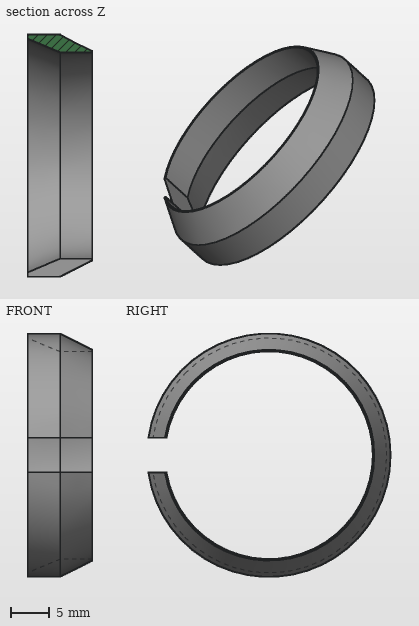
import cadquery as cq

outer_radius = 15.98
lip_outer_radius = 13.85
width = 8.5
band_width = width / 2
rim_wall = 0.58
lip_wall = 0.22
rim_bore_radius = outer_radius - rim_wall
lip_bore_radius = lip_outer_radius - lip_wall
gap = 4.55

x_start = -width / 2
x_shoulder = x_start + band_width
x_end = x_start + width

ring = (
    cq.Workplane("XY")
    .moveTo(x_start, -rim_bore_radius)
    .lineTo(x_start, -outer_radius)
    .lineTo(x_shoulder, -outer_radius)
    .lineTo(x_end, -lip_outer_radius)
    .lineTo(x_end, -lip_bore_radius)
    .lineTo(x_shoulder, -lip_bore_radius)
    .close()
    .revolve(360, (0, 0, 0), (1, 0, 0))
)

split = cq.Workplane("XY").box(width, outer_radius, gap).translate((0, -outer_radius, 0))

result = ring.cut(split)